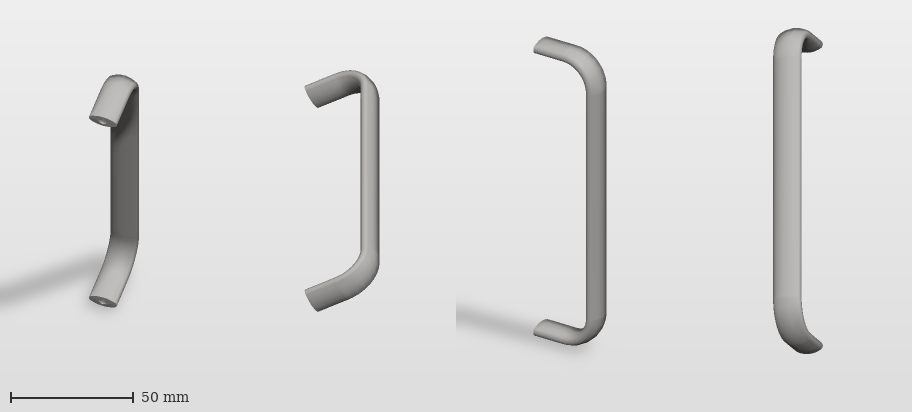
import cadquery as cq
import math

height = 134.0
reach = 30.0

bar_width = 12.0
bar_thickness = 6.0
broad_radius = 10.0

bend_radius = 13.0

hole_diameter = 3.3
hole_depth = 10.0
drill_point_angle = 118.0

leg_z = (height - bar_thickness) / 2
grip_y = reach - bar_thickness / 2


def oval_section(plane):
    """Closed oval outline centred on the plane's origin, wide along X."""
    half_width = bar_width / 2
    half_thickness = bar_thickness / 2
    broad_offset = broad_radius - half_thickness

    side_radius = (broad_radius**2 - broad_offset**2 - half_width**2) / (2 * (broad_radius - half_width))
    side_center = half_width - side_radius
    reach_ratio = broad_radius / (broad_radius - side_radius)
    joint_x = side_center * reach_ratio
    joint_y = broad_offset * reach_ratio - broad_offset

    return (
        cq.Workplane(plane)
        .moveTo(-joint_x, joint_y)
        .threePointArc((0, half_thickness), (joint_x, joint_y))
        .threePointArc((half_width, 0), (joint_x, -joint_y))
        .threePointArc((0, -half_thickness), (-joint_x, -joint_y))
        .threePointArc((-half_width, 0), (-joint_x, joint_y))
        .close()
    )


def bar_centreline():
    """U-shaped path in the YZ plane, starting at the upper mounting face."""
    leg_end_y = grip_y - bend_radius
    grip_end_z = leg_z - bend_radius
    bend_mid_y = leg_end_y + bend_radius * math.sin(math.pi / 4)
    bend_mid_z = grip_end_z + bend_radius * math.cos(math.pi / 4)
    return (
        cq.Workplane("YZ")
        .moveTo(0, leg_z)
        .lineTo(leg_end_y, leg_z)
        .threePointArc((bend_mid_y, bend_mid_z), (grip_y, grip_end_z))
        .lineTo(grip_y, -grip_end_z)
        .threePointArc((bend_mid_y, -bend_mid_z), (leg_end_y, -leg_z))
        .lineTo(0, -leg_z)
    )


def mounting_hole(z):
    """Drill-shaped cutter entering the leg end at height z along +Y."""
    hole_radius = hole_diameter / 2
    point_length = hole_radius / math.tan(math.radians(drill_point_angle / 2))
    return (
        cq.Workplane("XY")
        .lineTo(hole_radius, 0)
        .lineTo(hole_radius, hole_depth)
        .lineTo(0, hole_depth + point_length)
        .close()
        .revolve(360, (0, 0), (0, 1))
        .translate((0, 0, z))
    )


upper_leg_face = cq.Plane(origin=(0, 0, leg_z), xDir=(1, 0, 0), normal=(0, -1, 0))
result = oval_section(upper_leg_face).sweep(bar_centreline())

for hole_z in (leg_z, -leg_z):
    result = result.cut(mounting_hole(hole_z))